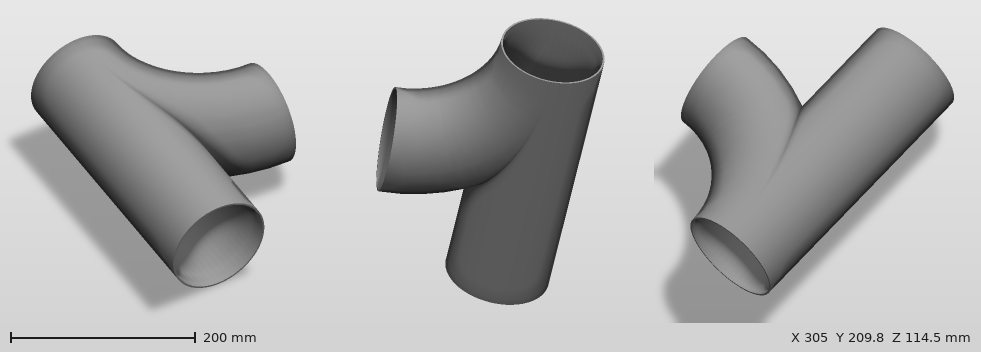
import cadquery as cq

run_length = 305.0
outer_diameter = 114.5
inner_diameter = 110.5
bend_radius = run_length / 2
bend_angle = 90.0
inlet_x = -run_length / 2


def inlet_ring():
    """Annular section of the pipe wall at the shared inlet face."""
    return (
        cq.Workplane("YZ", origin=(inlet_x, 0, 0))
        .circle(outer_diameter / 2)
        .circle(inner_diameter / 2)
    )


def branch_side():
    """Block holding everything on the branch side of the joint.

    A run along X and a bend of the same diameter, tangent at the inlet, meet on
    the parabola y = u**2 / (4 * bend_radius), where u is the distance from the inlet.
    This holds for the outer wall and the bore alike, so one cut mitres both.
    """
    joint_end_y = bend_radius / 2
    joint_end_u = (4 * bend_radius * joint_end_y) ** 0.5
    joint_curve = [
        (inlet_x, 0),
        (inlet_x + joint_end_u / 2, 0),
        (inlet_x + joint_end_u, joint_end_y),
    ]
    return (
        cq.Workplane("XY")
        .moveTo(*joint_curve[0])
        .bezier(joint_curve)
        .lineTo(inlet_x + joint_end_u, bend_radius)
        .lineTo(inlet_x, bend_radius)
        .close()
        .extrude(outer_diameter, both=True)
    )


run = inlet_ring().extrude(run_length).cut(branch_side())
branch = (
    inlet_ring()
    .revolve(bend_angle, (bend_radius, 0), (bend_radius, 1))
    .intersect(branch_side())
)

result = run.union(branch)